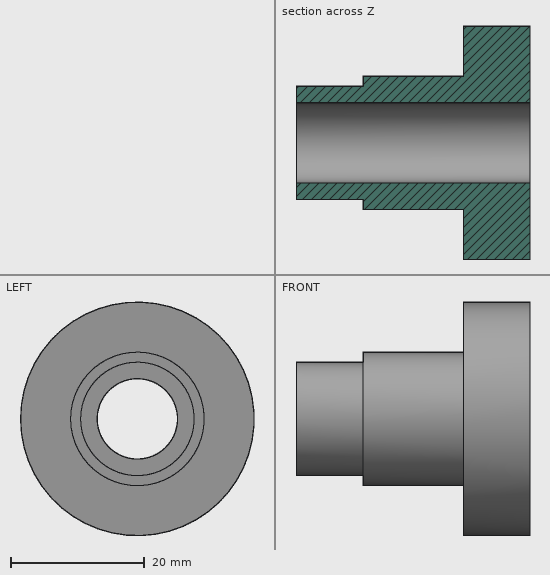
import cadquery as cq

SPIGOT_LENGTH = 10.0
SHANK_LENGTH = 15.0
FLANGE_LENGTH = 10.0

SPIGOT_DIAMETER = 17.0
SHANK_DIAMETER = 20.0
FLANGE_DIAMETER = 35.0
BORE_DIAMETER = 12.0

TOTAL_LENGTH = SPIGOT_LENGTH + SHANK_LENGTH + FLANGE_LENGTH


def cylinder_along_x(start_x, length, diameter):
    """Solid cylinder centred on the X axis, running towards +X from start_x."""
    return cq.Workplane("YZ", origin=(start_x, 0, 0)).circle(diameter / 2).extrude(length)


spigot = cylinder_along_x(0, SPIGOT_LENGTH, SPIGOT_DIAMETER)
shank = cylinder_along_x(SPIGOT_LENGTH, SHANK_LENGTH, SHANK_DIAMETER)
flange = cylinder_along_x(SPIGOT_LENGTH + SHANK_LENGTH, FLANGE_LENGTH, FLANGE_DIAMETER)
body = spigot.union(shank).union(flange)

bore = cylinder_along_x(0, TOTAL_LENGTH, BORE_DIAMETER)

result = body.cut(bore)